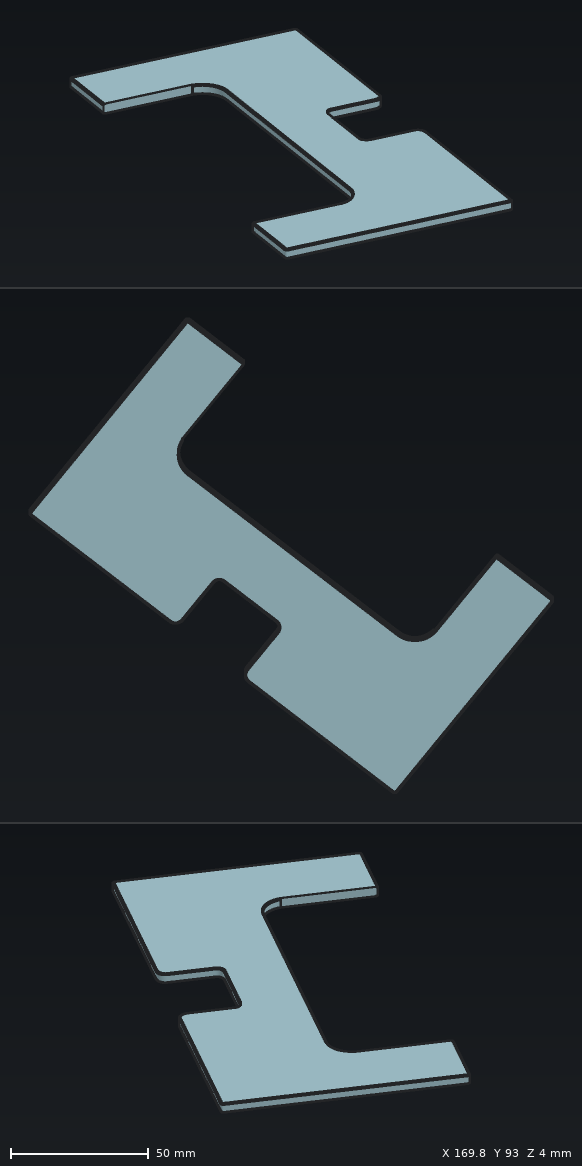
import cadquery as cq

length = 169.8
depth = 93.0
thickness = 4.0
rim_chamfer = 0.5
corner_radius = 1.0

opening_width = 116.0
opening_height = 45.0
opening_radius = 9.5

wall_setback = 0.5
relief_height = 36.5

notch_width = 29.5
notch_depth = 24.0
notch_center_x = -1.3
notch_rim_diameter = 6.12
notch_mouth_radius = notch_rim_diameter / 2 + rim_chamfer
notch_floor_radius = notch_rim_diameter / 2 - rim_chamfer

y_max = depth / 2


def front_cutter(width, height):
    """Through block, centred in X, that starts at the -Y side of the plate."""
    block = cq.Workplane("XY").box(width, height, thickness)
    return block.translate((0, -y_max + height / 2, 0))


def cut_leg_opening(plate):
    """Remove the wide opening that leaves a leg at each end."""
    cutter = front_cutter(opening_width, opening_height)
    return plate.cut(cutter.edges("|Z and >Y").fillet(opening_radius))


def round_corners(plate):
    """Round the two rear corners and all four corners of the leg ends."""
    rear_corners = plate.edges("|Z and >Y").fillet(corner_radius)
    return rear_corners.edges("|Z and <Y").fillet(corner_radius)


def cut_notch(plate):
    """Remove the rear notch, with rounded floor corners and a rounded mouth."""
    cutter = (
        cq.Workplane("XY")
        .box(notch_width, notch_depth, thickness)
        .edges("|Z and <Y")
        .fillet(notch_floor_radius)
        .translate((notch_center_x, y_max - notch_depth / 2, 0))
    )
    return plate.cut(cutter).edges("|Z and >Y").fillet(notch_mouth_radius)


def chamfer_rims(plate):
    """Bevel the whole outline on the top and bottom faces."""
    return plate.faces("<Z or >Z").edges().chamfer(rim_chamfer)


def set_back_leg_walls(plate):
    """Cut the inner leg walls back, leaving them square to the plate faces."""
    return plate.cut(front_cutter(opening_width + 2 * wall_setback, relief_height))


result = cq.Workplane("XY").box(length, depth, thickness)
result = cut_leg_opening(result)
result = round_corners(result)
result = cut_notch(result)
result = chamfer_rims(result)
result = set_back_leg_walls(result)